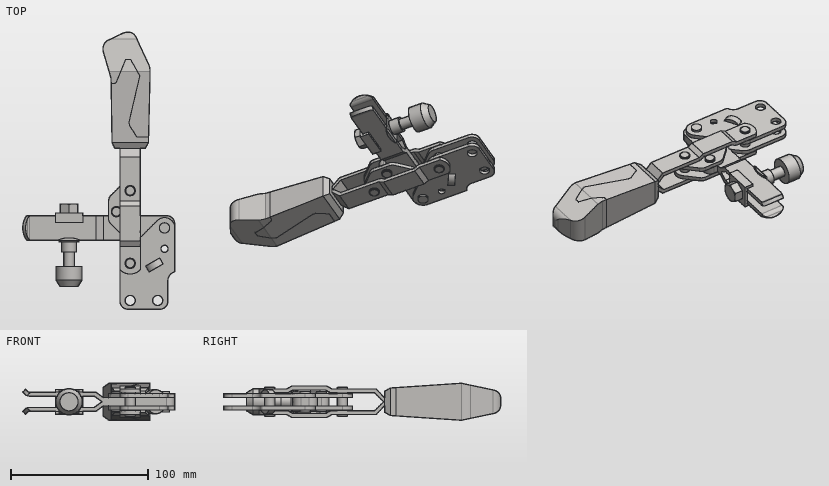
import cadquery as cq
import math


SHEET = 3.0
PIN_DIA = 7.5
PIN_CHAMFER = 0.5
LOBE_RADIUS = 7.5

LEVER_WIDTH = 15.0
LEVER_PIVOT = (LEVER_WIDTH / 2, 33.5)
LINK_TOP_PIVOT = (LEVER_WIDTH / 2, 86.4)
LINK_ARM_PIVOT = (-2.5, 71.1)
ARM_PIVOT = (32.5, 59.3)

ARM_HALF = SHEET
PLATE_OUTER = ARM_HALF + SHEET
LEVER_INNER = 6.4
LEVER_OUTER = LEVER_INNER + SHEET
LEVER_PIN_HALF = 10.7
SHORT_PIN_HALF = 7.6


def plain_pin(center, half_length):
    """Round pin along Z with flat ends."""
    return cq.Workplane("XY", origin=(*center, 0)).circle(PIN_DIA / 2).extrude(half_length, both=True)


def chamfered_pin(center, half_length):
    return plain_pin(center, half_length).faces("|Z").chamfer(PIN_CHAMFER)


def pin_hole(center):
    """Cutter for a pin that passes through the whole clamp."""
    return plain_pin(center, 2 * LEVER_PIN_HALF)


def both_sides(upper):
    """The part on the +Z side together with its mirror image."""
    return upper.union(upper.mirror("XY"))


BASE_WIDTH = 35.0
BASE_CORNER = 6.0
BASE_RIGHT = ARM_PIVOT[0] + LOBE_RADIUS
NOTCH_RADIUS = 6.5
NOTCH_Y = 20.9
NOTCH_CORNER = 1.0
MOUNT_HOLE_DIA = 7.2
MOUNT_HOLE_Y = 6.5
MOUNT_HOLE_X = (LEVER_WIDTH / 2, 27.5)
STOP_HOLE_DIA = 5.0
STOP_HOLE = (ARM_PIVOT[0], 44.1)
BUMP_CENTER = (25.1, 32.3)
BUMP_LENGTH = 11.8
BUMP_WIDTH = 5.0
BUMP_HEIGHT = 2.8
BUMP_ANGLE = 30.0


def base_plate():
    diagonal = LOBE_RADIUS * math.sqrt(0.5)
    lobe_start = (ARM_PIVOT[0] - diagonal, ARM_PIVOT[1] + diagonal)
    lobe_mid = (
        ARM_PIVOT[0] + LOBE_RADIUS * math.sin(math.radians(22.5)),
        ARM_PIVOT[1] + LOBE_RADIUS * math.cos(math.radians(22.5)),
    )
    notch_x = BASE_WIDTH + NOTCH_RADIUS
    notch_top = NOTCH_Y + math.sqrt(NOTCH_RADIUS**2 - (notch_x - BASE_RIGHT) ** 2)
    notch_diagonal = NOTCH_RADIUS * math.sqrt(0.5)
    notch_mid = (notch_x - notch_diagonal, NOTCH_Y + notch_diagonal)
    plate = (
        cq.Workplane("XY", origin=(0, 0, ARM_HALF))
        .moveTo(0, 0)
        .lineTo(0, lobe_start[1] - lobe_start[0])
        .lineTo(*lobe_start)
        .threePointArc(lobe_mid, (BASE_RIGHT, ARM_PIVOT[1]))
        .lineTo(BASE_RIGHT, notch_top)
        .threePointArc(notch_mid, (BASE_WIDTH, NOTCH_Y))
        .lineTo(BASE_WIDTH, 0)
        .close()
        .extrude(SHEET)
    )
    plate = plate.edges("|Z").edges("<Y").fillet(BASE_CORNER)
    plate = plate.edges("|Z and <X").edges(">Y").fillet(LOBE_RADIUS)
    notch_corner = cq.selectors.NearestToPointSelector((BASE_RIGHT, notch_top, ARM_HALF + SHEET / 2))
    plate = plate.edges("|Z").edges(notch_corner).fillet(NOTCH_CORNER)
    mount_holes = [(x, MOUNT_HOLE_Y) for x in MOUNT_HOLE_X]
    mount_cutter = cq.Workplane("XY").pushPoints(mount_holes).circle(MOUNT_HOLE_DIA / 2).extrude(PLATE_OUTER)
    stop_cutter = cq.Workplane("XY").center(*STOP_HOLE).circle(STOP_HOLE_DIA / 2).extrude(PLATE_OUTER)
    return plate.cut(mount_cutter).cut(stop_cutter)


def stop_bump():
    """Pressed stop: a cylinder segment standing on the outside of the plate."""
    half = BUMP_LENGTH / 2
    bump = (
        cq.Workplane("XZ", origin=(0, BUMP_WIDTH / 2, 0))
        .moveTo(-half, 0)
        .threePointArc((0, BUMP_HEIGHT), (half, 0))
        .close()
        .extrude(BUMP_WIDTH)
    )
    return bump.rotate((0, 0, 0), (0, 0, 1), BUMP_ANGLE).translate((*BUMP_CENTER, PLATE_OUTER))


def make_base():
    plates = both_sides(base_plate().union(stop_bump()))
    arm_pin = plain_pin(ARM_PIVOT, SHORT_PIN_HALF)
    lever_pin = chamfered_pin(LEVER_PIVOT, LEVER_PIN_HALF)
    return plates.union(arm_pin).union(lever_pin)


LINK_LEFT = -8.3
LINK_SHOULDER_ROUND = 5.6
LINK_MIDDLE_Y = 72.6


def link_plate():
    x, top_y = LINK_TOP_PIVOT
    diagonal = LOBE_RADIUS * math.sqrt(0.5)
    rise = top_y - LINK_MIDDLE_Y
    tangent_x = x - diagonal
    tangent_rise = rise + diagonal
    shoulder_rise = tangent_rise - (tangent_x - LINK_LEFT)
    plate = (
        cq.Workplane("XY", origin=(0, LINK_MIDDLE_Y, ARM_HALF))
        .moveTo(LINK_LEFT, -shoulder_rise)
        .lineTo(LINK_LEFT, shoulder_rise)
        .lineTo(tangent_x, tangent_rise)
        .threePointArc((x + diagonal, tangent_rise), (x + LOBE_RADIUS, rise))
        .lineTo(x + LOBE_RADIUS, -rise)
        .threePointArc((x + diagonal, -tangent_rise), (tangent_x, -tangent_rise))
        .close()
        .extrude(SHEET)
    )
    return plate.edges("|Z").edges("<X").fillet(LINK_SHOULDER_ROUND)


def make_links():
    plates = both_sides(link_plate())
    lever_pin = chamfered_pin(LINK_TOP_PIVOT, LEVER_PIN_HALF)
    arm_pin = chamfered_pin(LINK_ARM_PIVOT, SHORT_PIN_HALF)
    return plates.union(lever_pin).union(arm_pin)


GRIP_BOTTOM = 117.1
LEVER_SPREAD_Y = 110.9
LEVER_BOTTOM = 25.7
LEVER_END_RADIUS = 10.0
BULGE_DEPTH = 2.1
BULGE_TOP = 75.1
BULGE_BOTTOM = 49.6
BULGE_RAMP = 3.7
SPREAD_SHIFT = 1.0
STRIP_JOIN_DEPTH = 0.7
RAMP_SHIFT = 0.8


def lever_strip():
    outer = LEVER_OUTER
    inner = LEVER_INNER
    outer_bends = [
        (BULGE_BOTTOM - BULGE_RAMP, outer),
        (BULGE_BOTTOM, outer + BULGE_DEPTH),
        (BULGE_TOP, outer + BULGE_DEPTH),
        (BULGE_TOP + BULGE_RAMP, outer),
    ]
    inner_bends = [
        (BULGE_BOTTOM - BULGE_RAMP + RAMP_SHIFT, inner),
        (BULGE_BOTTOM + RAMP_SHIFT, inner + BULGE_DEPTH),
        (BULGE_TOP - RAMP_SHIFT, inner + BULGE_DEPTH),
        (BULGE_TOP + BULGE_RAMP - RAMP_SHIFT, inner),
    ]
    apex = GRIP_BOTTOM - STRIP_JOIN_DEPTH
    top = [(LEVER_SPREAD_Y, outer), (GRIP_BOTTOM, SHEET), (GRIP_BOTTOM, 0), (apex, 0)]
    side = [(LEVER_BOTTOM, outer)] + outer_bends + top
    side += [(LEVER_SPREAD_Y - SPREAD_SHIFT, inner)] + inner_bends[::-1] + [(LEVER_BOTTOM, inner)]
    return cq.Workplane("YZ").polyline(side).close().extrude(LEVER_WIDTH)


def lever_outline():
    half = LEVER_WIDTH / 2
    shoulder = LEVER_BOTTOM + LEVER_END_RADIUS - math.sqrt(LEVER_END_RADIUS**2 - half**2)
    return (
        cq.Workplane("XY", origin=(0, 0, -2 * LEVER_OUTER))
        .moveTo(0, GRIP_BOTTOM)
        .lineTo(0, shoulder)
        .threePointArc((half, LEVER_BOTTOM), (LEVER_WIDTH, shoulder))
        .lineTo(LEVER_WIDTH, GRIP_BOTTOM)
        .close()
        .extrude(4 * LEVER_OUTER)
    )


def make_lever():
    strips = both_sides(lever_strip()).intersect(lever_outline())
    return strips.cut(pin_hole(LEVER_PIVOT)).cut(pin_hole(LINK_TOP_PIVOT))


GRIP_TOP = 201.75
GRIP_KINK_Y = 173.0
GRIP_KINK_HALF = 13.55
COLLAR_TOP = 121.4
COLLAR_HALF = 10.1
GRIP_BOTTOM_HALF = 7.7
GRIP_TOP_HALF = 7.5
GRIP_TOP_ROUND = 6.5
GRIP_REACH = 50.0
PARTING_LEFT_Y = 164.4
PARTING_RIGHT_Y = 125.6


def grip_outline():
    return (
        cq.Workplane("XY", origin=(0, 0, -GRIP_KINK_HALF))
        .moveTo(-3.7, GRIP_BOTTOM)
        .lineTo(-5.8, COLLAR_TOP)
        .lineTo(-6.5, 168.2)
        .lineTo(-12.0, 187.0)
        .threePointArc((-11.4, 193.2), (-7.2, 196.5))
        .lineTo(2.5, 201.2)
        .threePointArc((5.2, GRIP_TOP), (8.4, 201.5))
        .threePointArc((10.8, 199.6), (12.7, 196.1))
        .lineTo(20.3, 179.8)
        .threePointArc((21.7, 176.3), (22.1, GRIP_KINK_Y))
        .lineTo(20.9, COLLAR_TOP)
        .lineTo(18.5, GRIP_BOTTOM)
        .close()
        .extrude(2 * GRIP_KINK_HALF)
    )


def grip_side():
    upper = [
        (GRIP_BOTTOM, GRIP_BOTTOM_HALF),
        (COLLAR_TOP, COLLAR_HALF),
        (GRIP_KINK_Y, GRIP_KINK_HALF),
        (GRIP_TOP, GRIP_TOP_HALF),
    ]
    lower = [(y, -z) for y, z in reversed(upper)]
    plane = cq.Workplane("YZ", origin=(-GRIP_REACH, 0, 0))
    side = plane.polyline(upper + lower).close().extrude(2 * GRIP_REACH)
    return side.edges("|X").edges(">Y").fillet(GRIP_TOP_ROUND)


def grip_back_region():
    """Prism over the hook shaped upper half of the two part grip."""
    above = GRIP_TOP + GRIP_KINK_HALF
    parting = [
        (-GRIP_REACH, PARTING_LEFT_Y),
        (-3.7, PARTING_LEFT_Y),
        (-2.6, 165.4),
        (4.2, 181.9),
        (7.8, 181.9),
        (14.5, 170.0),
        (6.7, 136.5),
        (6.9, 134.0),
        (12.3, PARTING_RIGHT_Y),
        (GRIP_REACH, PARTING_RIGHT_Y),
    ]
    return (
        cq.Workplane("XY", origin=(0, 0, -2 * GRIP_KINK_HALF))
        .polyline(parting + [(GRIP_REACH, above), (-GRIP_REACH, above)])
        .close()
        .extrude(4 * GRIP_KINK_HALF)
    )


def make_grip():
    return grip_outline().intersect(grip_side())


ARM_WIDTH = 18.0
ARM_TIP = -70.74
ARM_JOIN_X = -11.9
ARM_SPLIT_X = -17.4
JOIN_SHIFT = 1.2
ARM_GAP_HALF = 4.0
ARM_OUTER = ARM_GAP_HALF + SHEET
TIP_ROUND = 12.0
ARM_CORNER = 6.0
FLARE_BEND = 2.0
EAR_RADIUS = 5.6


def arm_sheet():
    """One bent sheet: flat at the pivot, spread around the spindle, flared at the tip."""
    flare_offset = SHEET * math.sqrt(0.5)
    inner_bend_x = ARM_TIP + ARM_OUTER - ARM_GAP_HALF
    outer_bend_x = inner_bend_x + SHEET * math.tan(math.radians(22.5))
    flare_end_z = ARM_GAP_HALF + inner_bend_x - ARM_TIP
    side = [
        (ARM_TIP, flare_end_z),
        (ARM_TIP + flare_offset, flare_end_z + flare_offset),
        (outer_bend_x, ARM_OUTER),
        (ARM_SPLIT_X, ARM_OUTER),
        (ARM_JOIN_X, SHEET),
        (BASE_RIGHT, SHEET),
        (BASE_RIGHT, 0),
        (ARM_JOIN_X - JOIN_SHIFT, 0),
        (ARM_SPLIT_X - JOIN_SHIFT, ARM_GAP_HALF),
        (inner_bend_x, ARM_GAP_HALF),
    ]
    plane = cq.Workplane("XZ", origin=(0, ARM_PIVOT[1] + ARM_WIDTH / 2, 0))
    sheet = plane.polyline(side).close().extrude(ARM_WIDTH)
    bend_y = ARM_PIVOT[1]
    inside_bend = cq.selectors.NearestToPointSelector((outer_bend_x, bend_y, ARM_OUTER))
    outside_bend = cq.selectors.NearestToPointSelector((inner_bend_x, bend_y, ARM_GAP_HALF))
    sheet = sheet.edges("|Y").edges(inside_bend).fillet(FLARE_BEND)
    sheet = sheet.edges("|Y").edges(outside_bend).fillet(FLARE_BEND + SHEET)
    flare_plane = cq.Plane(origin=(ARM_TIP, ARM_PIVOT[1], flare_end_z), xDir=(1, 0, -1), normal=(1, 0, 1))
    sagitta = TIP_ROUND - math.sqrt(TIP_ROUND**2 - (ARM_WIDTH / 2) ** 2)
    half = ARM_WIDTH / 2
    corner = (
        cq.Workplane(flare_plane)
        .moveTo(sagitta, half)
        .threePointArc((0, 0), (sagitta, -half))
        .lineTo(0, -half)
        .lineTo(-SHEET, -half)
        .lineTo(-SHEET, half)
        .lineTo(0, half)
        .close()
        .extrude(2 * SHEET, both=True)
    )
    return sheet.cut(corner)


def make_arm():
    arm = both_sides(arm_sheet())
    arm = arm.edges("|Z").edges(">X").fillet(ARM_CORNER)
    ear = cq.Workplane("XY", origin=(*LINK_ARM_PIVOT, -ARM_HALF)).circle(EAR_RADIUS).extrude(2 * ARM_HALF)
    foot_depth = LINK_ARM_PIVOT[1] - ARM_PIVOT[1]
    foot = (
        cq.Workplane("XY", origin=(LINK_ARM_PIVOT[0], LINK_ARM_PIVOT[1] - foot_depth / 2, -ARM_HALF))
        .rect(2 * EAR_RADIUS, foot_depth)
        .extrude(2 * ARM_HALF)
    )
    return arm.union(ear).union(foot).cut(pin_hole(LINK_ARM_PIVOT)).cut(pin_hole(ARM_PIVOT))


SPINDLE_X = -37.0
ARM_TOP_Y = ARM_PIVOT[1] + ARM_WIDTH / 2
ARM_BOTTOM_Y = ARM_PIVOT[1] - ARM_WIDTH / 2
HEAD_FLATS = 13.0
HEAD_HEIGHT = 6.5
HEAD_BEVEL_HEIGHT = 0.6
HEAD_BEVEL_DEPTH = 0.9
THREAD_DIA = 2 * ARM_GAP_HALF
NUT_DIA = 11.0
NUT_BOTTOM = 41.6
PAD_DIA = 19.2
PAD_TOP = 31.3
PAD_EDGE = 21.4
PAD_BOTTOM = 16.6
PAD_FACE_DIA = 13.2
SADDLE_WIDTH = 20.0
SADDLE_SHEET = 2.0
SADDLE_FLANGE = 4.9
SADDLE_HALF = ARM_OUTER + 2.1
WASHER_WIDTH = 14.6
WASHER_SHEET = 1.2
WASHER_BEVEL = 1.1
WASHER_HALF = ARM_OUTER + 1.6
LIP_EDGE = 0.4
LIP_CROWN = 1.8


def rod(dia, low, high):
    return cq.Workplane("XZ", origin=(SPINDLE_X, high, 0)).circle(dia / 2).extrude(high - low)


def hex_head():
    low = ARM_TOP_Y + SADDLE_SHEET
    high = low + HEAD_HEIGHT
    corner_dia = HEAD_FLATS / math.cos(math.radians(30))
    head = (
        cq.Workplane("XZ", origin=(SPINDLE_X, high, 0))
        .transformed(rotate=(0, 0, 90))
        .polygon(6, corner_dia)
        .extrude(HEAD_HEIGHT)
    )
    envelope = rod(corner_dia, low, high).faces(">Y").chamfer(HEAD_BEVEL_HEIGHT, HEAD_BEVEL_DEPTH)
    return head.intersect(envelope)


def arm_clearance():
    """The space taken by the two arm sheets beside the spindle."""
    sheet = cq.Workplane("XY", origin=(SPINDLE_X, ARM_PIVOT[1], 0)).rect(2 * SADDLE_WIDTH, ARM_WIDTH)
    return sheet.extrude(ARM_OUTER, both=True)


def saddle():
    low = ARM_TOP_Y - SADDLE_FLANGE
    height = SADDLE_FLANGE + SADDLE_SHEET
    block = cq.Workplane("XY", origin=(SPINDLE_X, low + height / 2, 0)).rect(SADDLE_WIDTH, height)
    return block.extrude(SADDLE_HALF, both=True).cut(arm_clearance())


def lipped_washer():
    half = WASHER_WIDTH / 2
    block = (
        cq.Workplane("XY", origin=(SPINDLE_X, ARM_BOTTOM_Y, 0))
        .moveTo(-half, -WASHER_SHEET)
        .lineTo(-half, LIP_EDGE)
        .threePointArc((0, LIP_CROWN), (half, LIP_EDGE))
        .lineTo(half, -WASHER_SHEET)
        .close()
        .extrude(WASHER_HALF, both=True)
    )
    block = block.faces("<Y").edges("|X").chamfer(WASHER_BEVEL)
    return block.cut(arm_clearance())


def rubber_pad():
    pad = rod(PAD_DIA, PAD_BOTTOM, PAD_TOP)
    return pad.faces("<Y").chamfer(PAD_EDGE - PAD_BOTTOM, (PAD_DIA - PAD_FACE_DIA) / 2)


def make_spindle():
    spindle = rod(THREAD_DIA, PAD_TOP, ARM_TOP_Y + SADDLE_SHEET)
    spindle = spindle.union(saddle()).union(hex_head())
    spindle = spindle.union(lipped_washer()).union(rod(NUT_DIA, NUT_BOTTOM, ARM_BOTTOM_Y - WASHER_SHEET))
    return spindle.union(rubber_pad())


base = make_base()
links = make_links()
lever = make_lever()
arm = make_arm()
spindle = make_spindle()
grip = make_grip()
grip_back = grip.intersect(grip_back_region())
grip_front = grip.cut(grip_back_region())

bodies = [base, links, lever, arm, spindle, grip_back, grip_front]
result = cq.Compound.makeCompound([body.val() for body in bodies])